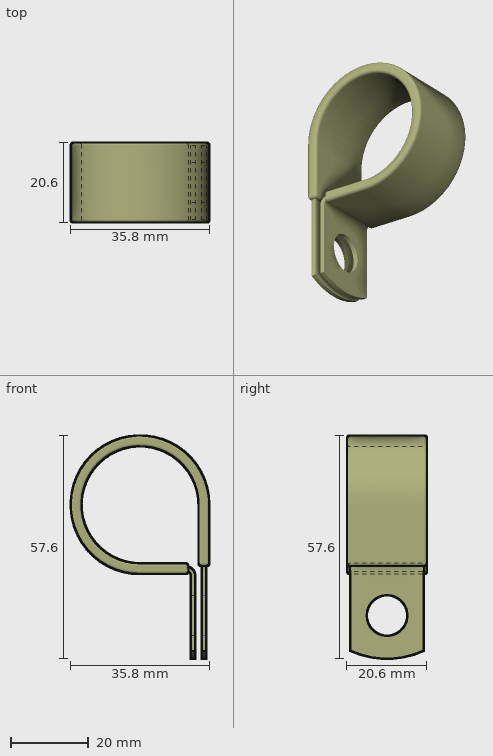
import cadquery as cq
import math


loop_outer_radius = 17.88
strap_thickness = 1.22
strap_width = 19.0
cushion_wall = 0.82
tab_gap = 1.59
bend_inner_radius = 1.2
tab_bottom_z = -39.68
tab_end_radius = 22.6
hole_diameter = 10.35
hole_z = -28.5
cushion_right_end_z = -15.8
cushion_bottom_end_x = 12.46
edge_radius = 0.80

strap_outer_radius = loop_outer_radius - cushion_wall
strap_inner_radius = strap_outer_radius - strap_thickness
loop_inner_radius = strap_inner_radius - cushion_wall
bent_tab_outer_x = strap_inner_radius - tab_gap
bent_tab_inner_x = bent_tab_outer_x - strap_thickness
cushion_width = strap_width + 2 * cushion_wall
bend_outer_radius = bend_inner_radius + strap_thickness
bend_center_x = bent_tab_inner_x - bend_inner_radius
bend_center_z = -strap_inner_radius - bend_outer_radius


def diagonal(radius):
    """Offset along each axis to the 45 degree point of a circle."""
    return radius * math.sqrt(0.5)


def loop_band(inner_radius, outer_radius, leg_end_z, leg_end_x, width):
    """Three-quarter loop with a vertical leg at +X and a horizontal leg at -Z."""
    inner_mid = diagonal(inner_radius)
    outer_mid = diagonal(outer_radius)
    return (
        cq.Workplane("XZ")
        .moveTo(outer_radius, leg_end_z)
        .lineTo(outer_radius, 0)
        .threePointArc((-outer_mid, outer_mid), (0, -outer_radius))
        .lineTo(leg_end_x, -outer_radius)
        .lineTo(leg_end_x, -inner_radius)
        .lineTo(0, -inner_radius)
        .threePointArc((-inner_mid, inner_mid), (inner_radius, 0))
        .lineTo(inner_radius, leg_end_z)
        .close()
        .extrude(width / 2, both=True)
    )


def make_cushion():
    """Rubber band with its side edges and both leg ends rounded."""
    band = loop_band(
        loop_inner_radius,
        loop_outer_radius,
        cushion_right_end_z,
        cushion_bottom_end_x,
        cushion_width,
    )
    side_edges = band.faces("<Y or >Y").edges()
    end_point_vertical = (loop_outer_radius, 0, cushion_right_end_z)
    end_point_horizontal = (cushion_bottom_end_x, 0, -loop_outer_radius)
    vertical_end = band.faces(cq.NearestToPointSelector(end_point_vertical)).edges("|Y")
    horizontal_end = band.faces(cq.NearestToPointSelector(end_point_horizontal)).edges("|Y")
    return side_edges.add(vertical_end).add(horizontal_end).fillet(edge_radius)


def make_bend():
    """Quarter bend turning the horizontal strap leg down into its tab."""
    outer_mid = diagonal(bend_outer_radius)
    inner_mid = diagonal(bend_inner_radius)
    return (
        cq.Workplane("XZ")
        .moveTo(bend_center_x, -strap_inner_radius)
        .threePointArc(
            (bend_center_x + outer_mid, bend_center_z + outer_mid),
            (bent_tab_outer_x, bend_center_z),
        )
        .lineTo(bent_tab_inner_x, bend_center_z)
        .threePointArc(
            (bend_center_x + inner_mid, bend_center_z + inner_mid),
            (bend_center_x, -strap_outer_radius),
        )
        .close()
        .extrude(strap_width / 2, both=True)
    )


def make_tab(start_x, top_z):
    """Flat tab with a bolt hole and a rounded lower end."""
    half_width = strap_width / 2
    end_rise = tab_end_radius - math.sqrt(tab_end_radius**2 - half_width**2)
    corner_z = tab_bottom_z + end_rise
    plate = (
        cq.Workplane("YZ", origin=(start_x, 0, 0))
        .moveTo(-half_width, top_z)
        .lineTo(-half_width, corner_z)
        .threePointArc((0, tab_bottom_z), (half_width, corner_z))
        .lineTo(half_width, top_z)
        .close()
        .extrude(strap_thickness)
    )
    hole = (
        cq.Workplane("YZ", origin=(start_x, 0, 0))
        .center(0, hole_z)
        .circle(hole_diameter / 2)
        .extrude(strap_thickness)
    )
    return plate.cut(hole)


def make_strap():
    """Metal strap: loop, bend and the two parallel tabs."""
    loop = loop_band(
        strap_inner_radius,
        strap_outer_radius,
        cushion_right_end_z,
        bend_center_x,
        strap_width,
    )
    straight_tab = make_tab(strap_inner_radius, cushion_right_end_z)
    bent_tab = make_tab(bent_tab_inner_x, bend_center_z)
    return loop.union(straight_tab).union(make_bend()).union(bent_tab)


result = make_cushion().union(make_strap())